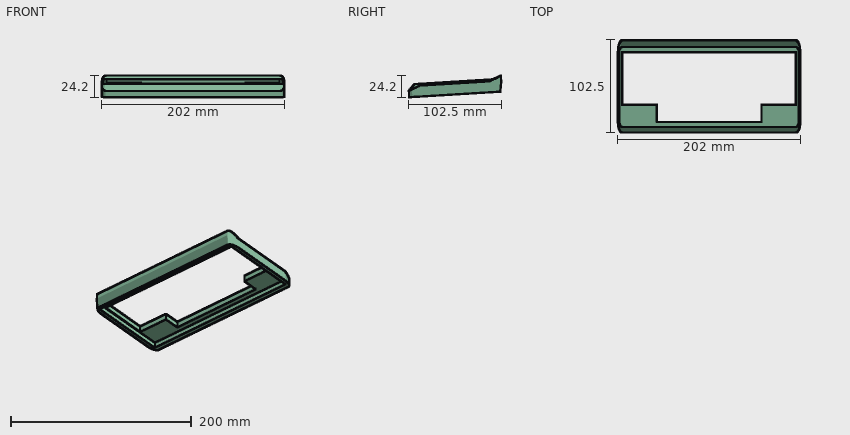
import cadquery as cq
import math


length = 202.0
depth = 102.5
half_length = length / 2
corner_start_x = 95.7
back_seam_y = 37.8
front_seam_y = -39.4
corner_steps = 8
tilt = 3.5
slope = math.tan(math.radians(tilt))

front_bottom_y = -51.0
front_rim_y = -depth / 2
front_rim_z = 7.0
back_bottom_y = 50.0
back_ridge_y = depth / 2
back_ridge_z = 17.5
back_rim_y = 50.7
back_rim_z = 24.2

plate_half_length = 99.0
plate_front_y = -45.0
plate_back_y = 43.8
plate_front_z = 14.7
plate_thickness = 7.5
side_rim_drop = 2.2
side_ridge_z = 13.3

window_half_length = 95.7
window_back_y = 37.5
tab_edge_y = -20.2
notch_half_length = 57.8
notch_front_y = -39.2

pocket_half_length = 96.4
pocket_half_width = 46.0

cut_height = 80.8


def plate_z(y):
    return plate_front_z + slope * (y - plate_front_y)


def bottom_z(y):
    return slope * (y - front_bottom_y)


def side_rim_z(y):
    return plate_z(y) - side_rim_drop


def corner_edge(side, side_x, seam_y, seam_z, end_y, end_z):
    """Elliptical quarter from a straight side (+1 right, -1 left) to the front or back edge."""
    def point(angle):
        across = math.cos(angle)
        along = math.sin(angle)
        return cq.Vector(
            side * (corner_start_x + (side_x - corner_start_x) * across),
            seam_y + (end_y - seam_y) * along,
            seam_z + (end_z - seam_z) * along,
        )

    points = [point(math.pi / 2 * i / corner_steps) for i in range(corner_steps + 1)]
    start_tangent = cq.Vector(0, end_y - seam_y, end_z - seam_z)
    end_tangent = cq.Vector(side * (corner_start_x - side_x), 0, 0)
    return cq.Edge.makeSpline(points, tangents=[start_tangent, end_tangent])


def end_band(seam_y, lower, upper):
    """Ruled faces across a front or back edge and round its two corners.

    Each level is (side x, seam z, end y, end z).
    """
    faces = []
    for side in (-1, 1):
        edges = [corner_edge(side, x, seam_y, seam_z, y, z) for x, seam_z, y, z in (lower, upper)]
        faces.append(cq.Face.makeRuledSurface(*edges))
    straights = [
        cq.Edge.makeLine(cq.Vector(-corner_start_x, y, z), cq.Vector(corner_start_x, y, z))
        for _, _, y, z in (lower, upper)
    ]
    faces.append(cq.Face.makeRuledSurface(*straights))
    return faces


def flat_face(points):
    return cq.Face.makeFromWires(cq.Wire.makePolygon([cq.Vector(*p) for p in points], close=True))


def outline_face(side_x, front_level, back_level):
    """Planar face bounded by the front and back levels and two straight sides."""
    edges = []
    for seam_y, (x, seam_z, y, z) in ((front_seam_y, front_level), (back_seam_y, back_level)):
        for side in (-1, 1):
            edges.append(corner_edge(side, x, seam_y, seam_z, y, z))
        edges.append(cq.Edge.makeLine(cq.Vector(-corner_start_x, y, z), cq.Vector(corner_start_x, y, z)))
    for side in (-1, 1):
        edges.append(cq.Edge.makeLine(
            cq.Vector(side * side_x, front_seam_y, front_level[1]),
            cq.Vector(side * side_x, back_seam_y, back_level[1]),
        ))
    return cq.Face.makeFromWires(cq.Wire.combine(edges)[0])


def outer_body():
    front_levels = [
        (half_length, bottom_z(front_seam_y), front_bottom_y, bottom_z(front_bottom_y)),
        (half_length, side_rim_z(front_seam_y), front_rim_y, front_rim_z),
        (plate_half_length, plate_z(front_seam_y), plate_front_y, plate_z(plate_front_y)),
    ]
    back_levels = [
        (half_length, bottom_z(back_seam_y), back_bottom_y, bottom_z(back_bottom_y)),
        (half_length, side_ridge_z, back_ridge_y, back_ridge_z),
        (half_length, side_rim_z(back_seam_y), back_rim_y, back_rim_z),
        (plate_half_length, plate_z(back_seam_y), plate_back_y, plate_z(plate_back_y)),
    ]
    faces = [
        outline_face(half_length, front_levels[0], back_levels[0]),
        outline_face(plate_half_length, front_levels[-1], back_levels[-1]),
    ]
    for seam_y, levels in ((front_seam_y, front_levels), (back_seam_y, back_levels)):
        for lower, upper in zip(levels, levels[1:]):
            faces += end_band(seam_y, lower, upper)
    for side in (-1, 1):
        front_points = [(side * x, front_seam_y, z) for x, z, _, _ in front_levels]
        back_points = [(side * x, back_seam_y, z) for x, z, _, _ in back_levels]
        faces.append(flat_face(front_points[:2] + back_points[2::-1]))
        faces.append(flat_face(front_points[1:] + back_points[:1:-1]))
    return cq.Workplane(cq.Solid.makeSolid(cq.Shell.makeShell(faces)).fix())


def cutting_box(half_x, y_min, y_max):
    """Tall upright box centred on X = 0 and Z = 0."""
    box = cq.Workplane("XY").box(2 * half_x, y_max - y_min, cut_height)
    return box.translate((0, (y_min + y_max) / 2, 0))


def underside_pocket():
    """Pocket whose ceiling and walls follow the plate's tilt."""
    box = cutting_box(pocket_half_length, -pocket_half_width, pocket_half_width)
    box = box.translate((0, 0, -plate_thickness - cut_height / 2))
    return box.rotate((0, 0, 0), (1, 0, 0), tilt).translate((0, 0, plate_z(0)))


window = cutting_box(window_half_length, tab_edge_y, window_back_y)
notch = cutting_box(notch_half_length, notch_front_y, tab_edge_y)

result = outer_body().cut(window).cut(notch).cut(underside_pocket())